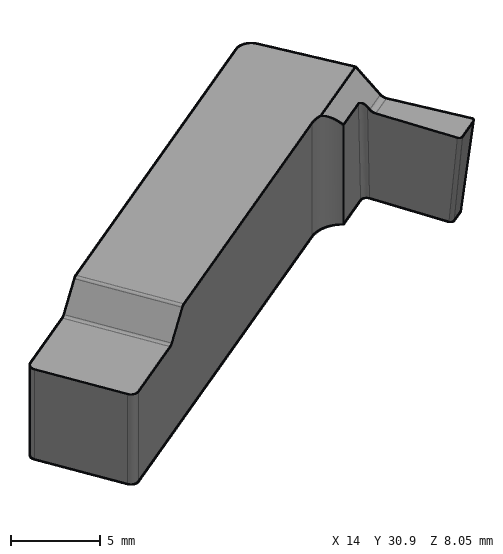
import cadquery as cq
import math

length = 30.9
total_width = 14.0
height = 8.05

shank_width = 6.6
seat_drop = 1.67
seat_height = height - seat_drop
tail_radius = 0.45
nose_radius = 0.93

step_top_y = 6.75
step_radius = 0.3

neck_x = 7.8
neck_shoulder_y = 26.67
neck_arc_radius = 1.85
neck_fillet = 0.37
ramp_top_x = 6.8
ramp_radius = 0.53

arm_tip_width = 1.98
arm_root_x = 6.18
tip_corner_radius = 0.22
flank_slope = math.tan(math.radians(2.5))
end_slope = math.tan(math.radians(5.8))

front_corner_y = length + tip_corner_radius * flank_slope

margin = 3.1


def front_y(x, z):
    """Y of the front flank, which slopes along X and leans back towards the base."""
    return front_corner_y - flank_slope * (total_width - x) - flank_slope * (seat_height - z)


def inner_y(x, z):
    """Y of the arm's inner flank, which leans forward towards the base."""
    return length - arm_tip_width + flank_slope * (total_width - x) + flank_slope * (seat_height - z)


def tip_x(z):
    """X of the arm's end face."""
    return total_width - end_slope * (seat_height - z)


def loft_between_heights(section):
    """Ruled solid between the section outlines at the base and at the top."""
    base = cq.Workplane("XY").polyline(section(0)).close()
    return base.workplane(offset=height).polyline(section(height)).close().loft(ruled=True)


def make_shank():
    arc_x = shank_width + neck_arc_radius
    half_chord = arc_x - neck_x
    arc_start_y = neck_shoulder_y - math.sqrt(neck_arc_radius**2 - half_chord**2)
    mid_angle = (math.pi + math.acos(-half_chord / neck_arc_radius)) / 2
    arc_middle = (
        arc_x + neck_arc_radius * math.cos(mid_angle),
        arc_start_y + neck_arc_radius * math.sin(mid_angle),
    )
    shank = (
        cq.Workplane("XY")
        .lineTo(shank_width, 0)
        .lineTo(shank_width, arc_start_y)
        .threePointArc(arc_middle, (neck_x, neck_shoulder_y))
        .lineTo(neck_x, front_y(neck_x, height))
        .lineTo(0, front_y(0, height))
        .close()
        .extrude(height)
    )
    shank = shank.edges("|Z and <Y").fillet(tail_radius)
    nose = cq.selectors.NearestToPointSelector((0, front_y(0, height), height / 2))
    return shank.edges(nose).fillet(nose_radius)


def arm_section(z):
    return [
        (arm_root_x, inner_y(arm_root_x, z)),
        (tip_x(z), inner_y(tip_x(z), z)),
        (tip_x(z), front_y(tip_x(z), z)),
        (arm_root_x, front_y(arm_root_x, z)),
    ]


def front_waste_section(z):
    return [
        (-margin, front_y(-margin, z)),
        (total_width + margin, front_y(total_width + margin, z)),
        (total_width + margin, length + margin),
        (-margin, length + margin),
    ]


def make_arm():
    arm = loft_between_heights(arm_section)
    return arm.faces(">X").edges("not |Y").edges("not #Z").fillet(tip_corner_radius)


def step_cutter():
    """Clears the space above the tail and its 45 degree step."""
    profile = (
        cq.Workplane("YZ")
        .moveTo(-margin, seat_height)
        .lineTo(step_top_y - seat_drop, seat_height)
        .lineTo(step_top_y + margin, height + margin)
        .lineTo(-margin, height + margin)
        .close()
        .extrude(total_width)
    )
    lower_edge = cq.selectors.NearestToPointSelector(
        (total_width / 2, step_top_y - seat_drop, seat_height)
    )
    return profile.edges(lower_edge).fillet(step_radius)


def ramp_cutter():
    """Clears the space above the arm and the 45 degree ramp leading down to it."""
    ramp_foot_x = ramp_top_x + seat_drop
    start_y = length / 2
    profile = (
        cq.Workplane("XZ", origin=(0, length + margin, 0))
        .moveTo(total_width + margin, seat_height)
        .lineTo(ramp_foot_x, seat_height)
        .lineTo(ramp_top_x - margin, height + margin)
        .lineTo(total_width + margin, height + margin)
        .close()
        .extrude(length + margin - start_y)
    )
    foot_edge = cq.selectors.NearestToPointSelector(
        (ramp_foot_x, (length + margin + start_y) / 2, seat_height)
    )
    return profile.edges(foot_edge).fillet(ramp_radius)


body = make_shank().union(make_arm()).cut(loft_between_heights(front_waste_section))

neck_corner = cq.selectors.NearestToPointSelector((neck_x, inner_y(neck_x, height / 2), height / 2))
body = body.edges(neck_corner).fillet(neck_fillet)

body = body.cut(step_cutter()).cut(ramp_cutter())
step_crest = cq.selectors.NearestToPointSelector((shank_width / 2, step_top_y, height))
result = body.edges(step_crest).fillet(step_radius)